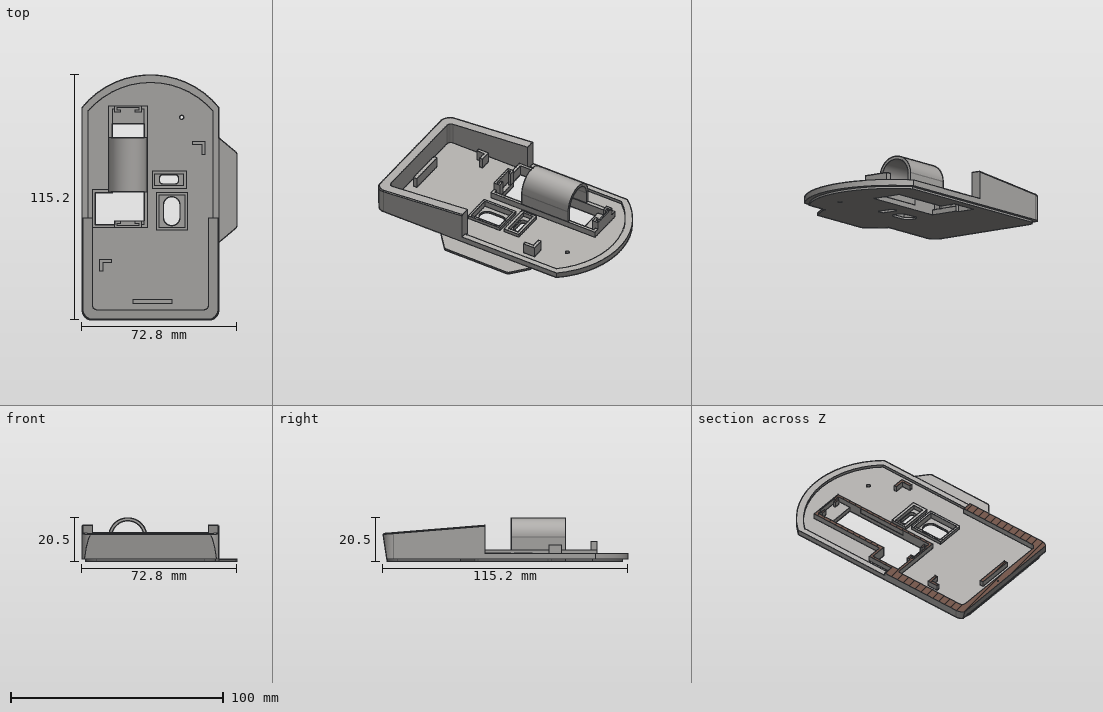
import cadquery as cq

BODY_HALF_WIDTH = 32.15
BODY_LENGTH = 115.17
HEAD_START_Y = 99.8
CORNER_RADIUS = 5.0

BASE_TOP = 1.0
FLOOR_TOP = 2.4
RIM_TOP = 3.8
SMALL_RECESS_FLOOR = 1.9
FRAME_TOP = 4.0
BAY_FRAME_TOP = 5.45
CLIP_TOP = 9.35
STOP_TOP = 7.7

BASE_HALF_WIDTH = 30.45
BASE_FRONT_Y = 1.9
BASE_HEAD_START_Y = 98.3
BASE_LENGTH = 112.56
FLANGE_X = 40.69
FLANGE_CENTER_Y = 61.05
FLANGE_TIP_HALF_LENGTH = 17.4
FLANGE_ROOT_HALF_LENGTH = 24.55
FLANGE_CORNER_RADIUS = 2.0

TRAY_HALF_WIDTH = 29.4
TRAY_HEAD_START_Y = 98.12
TRAY_LENGTH = 111.57

WALL_END_Y = 48.0
WALL_BACK_TOP = 17.0
WALL_FRONT_TOP = 13.1
WALL_SIDE_THICKNESS = 4.95
WALL_FRONT_THICKNESS = 4.85
WALL_INNER_RADIUS = 2.1
WALL_CHAMFER = 0.5
FRONT_LEAN = 1.75

BAY_LEFT = -19.66
BAY_RIGHT = -1.5
BAY_FRONT = 43.44
BAY_BACK = 100.55
BAY_WALL = 1.45
BAY_LEFT_WALL = 1.8
SIDE_BAY_LEFT = -27.3
SIDE_BAY_BACK = 61.23
OPENING_BACK = 92.2
OPENING_FRONT = 46.6
ARCH_START_Y = 60.2
ARCH_END_Y = 85.7
ARCH_RIGHT = -1.65
ARCH_TOP = 20.47

CLIP_LEFT = -16.88
CLIP_RIGHT = -4.3
CLIP_SIDE = 1.05
CLIP_LIP_LENGTH = 1.8
CLIP_LIP = 1.1
CLIP_SLOT = 1.05
BACK_CLIP_DEPTH = 2.9
FRONT_CLIP_DEPTH = 3.15

SMALL_FRAME = (0.87, 61.8, 16.94, 69.93)
SMALL_RECESS = (1.86, 63.3, 15.5, 68.5)
SMALL_HOLE = (4.3, 64.0, 13.1, 68.2)
SMALL_HOLE_RADIUS = 1.4
LARGE_FRAME = (2.9, 42.4, 17.28, 59.84)
LARGE_RECESS = (3.94, 43.44, 16.24, 58.8)
LARGE_HOLE = (6.15, 44.4, 13.8, 57.9)
LARGE_HOLE_RADIUS = 3.8

PIN_HOLE_DIAMETER = 1.85
PIN_HOLE_CENTER = (14.67, 95.2)
BACK_STOP_LEG = 6.0
FRONT_STOP_LEG = 5.5
STOP_THICKNESS = 1.5
BACK_STOP_CORNER = (25.64, 83.85)
FRONT_STOP_CORNER = (-23.9, 28.5)
FRONT_BAR = (-8.24, 7.89, 10.03, 9.74)


def block(bounds, bottom, top):
    """Box over the plan rectangle (left, front, right, back)."""
    left, front, right, back = bounds
    size = (right - left, back - front, top - bottom)
    return cq.Workplane("XY").box(*size, centered=False).translate((left, front, bottom))


def headed_plate(half_width, front, head_start, length, bottom, top):
    """Plate with straight sides and an arched head."""
    return (
        cq.Workplane("XY", origin=(0, 0, bottom))
        .moveTo(-half_width, front)
        .lineTo(half_width, front)
        .lineTo(half_width, head_start)
        .threePointArc((0, length), (-half_width, head_start))
        .close()
        .extrude(top - bottom)
    )


def base_plate():
    plate = headed_plate(BASE_HALF_WIDTH, BASE_FRONT_Y, BASE_HEAD_START_Y, BASE_LENGTH, 0, BASE_TOP)
    plate = plate.edges("|Z and <Y").fillet(CORNER_RADIUS)
    flange = (
        cq.Workplane("XY")
        .moveTo(0, FLANGE_CENTER_Y - FLANGE_ROOT_HALF_LENGTH)
        .lineTo(BODY_HALF_WIDTH, FLANGE_CENTER_Y - FLANGE_ROOT_HALF_LENGTH)
        .lineTo(FLANGE_X, FLANGE_CENTER_Y - FLANGE_TIP_HALF_LENGTH)
        .lineTo(FLANGE_X, FLANGE_CENTER_Y + FLANGE_TIP_HALF_LENGTH)
        .lineTo(BODY_HALF_WIDTH, FLANGE_CENTER_Y + FLANGE_ROOT_HALF_LENGTH)
        .lineTo(0, FLANGE_CENTER_Y + FLANGE_ROOT_HALF_LENGTH)
        .close()
        .extrude(BASE_TOP)
        .edges("|Z and >X")
        .fillet(FLANGE_CORNER_RADIUS)
    )
    return plate.union(flange)


def body_shell():
    """Tray with its rim and the tall front wall, still without details."""
    top_slope = (WALL_BACK_TOP - WALL_FRONT_TOP) / WALL_END_Y
    lean_slope = FRONT_LEAN / (WALL_FRONT_TOP - WALL_CHAMFER - BASE_TOP)
    front_top_y = -lean_slope * WALL_CHAMFER
    side_profile = [
        (FRONT_LEAN, BASE_TOP),
        (BODY_LENGTH, BASE_TOP),
        (BODY_LENGTH, RIM_TOP),
        (WALL_END_Y, RIM_TOP),
        (WALL_END_Y, WALL_BACK_TOP),
        (front_top_y, WALL_FRONT_TOP + top_slope * front_top_y),
    ]
    envelope = (
        cq.Workplane("YZ", origin=(-BODY_HALF_WIDTH, 0, 0))
        .polyline(side_profile)
        .close()
        .extrude(2 * BODY_HALF_WIDTH)
    )
    outline = headed_plate(
        BODY_HALF_WIDTH, front_top_y, HEAD_START_Y, BODY_LENGTH, BASE_TOP, WALL_BACK_TOP
    )
    outline = outline.edges("|Z and <Y").fillet(CORNER_RADIUS)
    shell = envelope.intersect(outline)

    shell = shell.faces(">Z").edges("not(>Y)").chamfer(WALL_CHAMFER)

    tray = headed_plate(
        TRAY_HALF_WIDTH, WALL_END_Y, TRAY_HEAD_START_Y, TRAY_LENGTH, FLOOR_TOP, WALL_BACK_TOP
    )
    pocket_half_width = BODY_HALF_WIDTH - WALL_SIDE_THICKNESS
    pocket_bounds = (-pocket_half_width, WALL_FRONT_THICKNESS, pocket_half_width, WALL_END_Y)
    pocket = block(pocket_bounds, FLOOR_TOP, WALL_BACK_TOP)
    pocket = pocket.edges("|Z and <Y").fillet(WALL_INNER_RADIUS)
    return shell.cut(tray).cut(pocket)


def bay_frame():
    main = block((BAY_LEFT, BAY_FRONT, BAY_RIGHT, BAY_BACK), BASE_TOP, BAY_FRAME_TOP)
    side = block((SIDE_BAY_LEFT, BAY_FRONT, BAY_LEFT, SIDE_BAY_BACK), BASE_TOP, BAY_FRAME_TOP)
    return main.union(side)


def bay_interior(bottom, top):
    """Space inside the bay frame, including the side bay."""
    inner_right = BAY_RIGHT - BAY_WALL
    inner_front = BAY_FRONT + BAY_WALL
    main = block(
        (BAY_LEFT + BAY_LEFT_WALL, inner_front, inner_right, BAY_BACK - BAY_WALL), bottom, top
    )
    side = block(
        (SIDE_BAY_LEFT + BAY_WALL, inner_front, inner_right, SIDE_BAY_BACK - BAY_WALL), bottom, top
    )
    return main.union(side)


def bay_opening():
    """Through opening, stopped short by the ledges under both clips."""
    opening = bay_interior(0, FLOOR_TOP)
    back_ledge = block((BAY_LEFT, OPENING_BACK, BAY_RIGHT, BAY_BACK), 0, FLOOR_TOP)
    front_ledge = block((CLIP_LEFT, BAY_FRONT, BAY_RIGHT, OPENING_FRONT), 0, FLOOR_TOP)
    return opening.cut(back_ledge).cut(front_ledge)


def arch():
    outer_radius = (ARCH_RIGHT - BAY_LEFT) / 2
    inner_radius = outer_radius - BAY_WALL
    center_x = (BAY_LEFT + ARCH_RIGHT) / 2
    spring_line = ARCH_TOP - outer_radius

    def tunnel(radius):
        return (
            cq.Workplane("XZ", origin=(center_x, ARCH_END_Y, 0))
            .moveTo(-radius, FLOOR_TOP)
            .lineTo(radius, FLOOR_TOP)
            .lineTo(radius, spring_line)
            .threePointArc((0, spring_line + radius), (-radius, spring_line))
            .close()
            .extrude(ARCH_END_Y - ARCH_START_Y)
        )

    return tunnel(outer_radius).cut(tunnel(inner_radius))


def add_clip(part, wall_y, depth, inward):
    """Add a C-shaped clip on the bay end at wall_y, opening in the inward Y direction."""

    def span(left, right, start, end):
        front, back = sorted((wall_y + inward * start, wall_y + inward * end))
        return block((left, front, right, back), FLOOR_TOP, CLIP_TOP)

    lip_start = depth - CLIP_LIP
    slot_left = CLIP_LEFT + CLIP_SIDE
    slot_right = CLIP_RIGHT - CLIP_SIDE
    slot = span(slot_left, slot_right, lip_start - CLIP_SLOT, lip_start)
    mouth = span(slot_left + CLIP_LIP_LENGTH, slot_right - CLIP_LIP_LENGTH, lip_start, depth)
    return part.union(span(CLIP_LEFT, CLIP_RIGHT, 0, depth)).cut(slot).cut(mouth)


def add_window(part, frame, recess, recess_floor, hole, hole_radius):
    """Raised rectangular frame around a recess with a rounded through hole."""
    part = part.union(block(frame, BASE_TOP, FRAME_TOP))
    part = part.cut(block(recess, recess_floor, FRAME_TOP))
    return part.cut(block(hole, 0, FRAME_TOP).edges("|Z").fillet(hole_radius))


def corner_stop(corner, leg_length, leg_x_direction):
    """L-shaped stop with one leg along X and one leg towards the front."""
    x, y = corner
    leg_left, leg_right = sorted((x, x + leg_x_direction * leg_length))
    post_left, post_right = sorted((x, x + leg_x_direction * STOP_THICKNESS))
    cross_leg = block((leg_left, y - STOP_THICKNESS, leg_right, y), BASE_TOP, STOP_TOP)
    front_leg = block((post_left, y - leg_length, post_right, y), BASE_TOP, STOP_TOP)
    return cross_leg.union(front_leg)


def pin_hole():
    return (
        cq.Workplane("XY")
        .center(*PIN_HOLE_CENTER)
        .circle(PIN_HOLE_DIAMETER / 2)
        .extrude(RIM_TOP)
    )


result = base_plate().union(body_shell())
result = result.union(bay_frame()).cut(bay_interior(FLOOR_TOP, BAY_FRAME_TOP)).cut(bay_opening())
result = result.union(arch())
result = add_clip(result, BAY_BACK, BACK_CLIP_DEPTH, -1)
result = add_clip(result, BAY_FRONT, FRONT_CLIP_DEPTH, 1)
result = add_window(
    result, SMALL_FRAME, SMALL_RECESS, SMALL_RECESS_FLOOR, SMALL_HOLE, SMALL_HOLE_RADIUS
)
result = add_window(result, LARGE_FRAME, LARGE_RECESS, BASE_TOP, LARGE_HOLE, LARGE_HOLE_RADIUS)
result = result.union(corner_stop(BACK_STOP_CORNER, BACK_STOP_LEG, -1))
result = result.union(corner_stop(FRONT_STOP_CORNER, FRONT_STOP_LEG, 1))
result = result.union(block(FRONT_BAR, BASE_TOP, STOP_TOP))
result = result.cut(pin_hole())